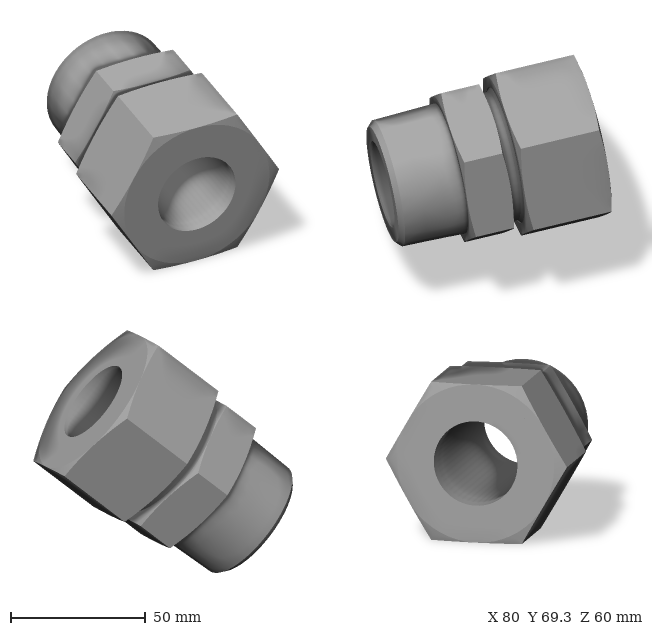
import cadquery as cq
import math


total_length = 80.0
stud_length = 26.0
body_hex_length = 17.0
neck_length = 3.4
nut_length = 32.6
body_hex_end = stud_length + body_hex_length
neck_end = body_hex_end + neck_length
nut_start = total_length - nut_length

taper_ratio = 1 / 16
stud_root_radius = 24.9
stud_chamfer = 2.0
stud_chamfer_radius = stud_root_radius - (stud_length - stud_chamfer) * taper_ratio / 2

bore_radius = 16.0
bore_chamfer = 0.6
neck_radius = 24.5
shank_radius = 26.0
shank_lead_end = neck_end + shank_radius - neck_radius

body_hex_flats = 55.0
nut_hex_flats = 60.0
hex_chamfer_angle = 15.0


def revolve_about_x(profile):
    """Solid turned about the X axis from (x, radius) points."""
    return cq.Workplane("XY").polyline(profile).close().revolve(360, (0, 0, 0), (1, 0, 0))


def chamfered_hexagon(start, length, flats):
    """Hexagonal prism along X whose corners are cut by a cone at both ends."""
    corner_radius = flats / math.sqrt(3)
    face_radius = flats / 2
    chamfer_depth = (corner_radius - face_radius) * math.tan(math.radians(hex_chamfer_angle))
    end = start + length
    prism = (
        cq.Workplane("YZ", origin=(start, 0, 0))
        .polygon(6, 2 * corner_radius)
        .extrude(length)
    )
    envelope = revolve_about_x([
        (start, 0),
        (start, face_radius),
        (start + chamfer_depth, corner_radius),
        (end - chamfer_depth, corner_radius),
        (end, face_radius),
        (end, 0),
    ])
    return prism.intersect(envelope)


def make_body():
    """Tapered stud, hexagon, neck and shank, with one bore through them all."""
    turned = revolve_about_x([
        (0, 0),
        (0, stud_chamfer_radius - stud_chamfer),
        (stud_chamfer, stud_chamfer_radius),
        (stud_length, stud_root_radius),
        (stud_length, neck_radius),
        (neck_end, neck_radius),
        (shank_lead_end, shank_radius),
        (total_length, shank_radius),
        (total_length, 0),
    ])
    bore = revolve_about_x([
        (0, 0),
        (0, bore_radius + bore_chamfer),
        (bore_chamfer, bore_radius),
        (total_length, bore_radius),
        (total_length, 0),
    ])
    hexagon = chamfered_hexagon(stud_length, body_hex_length, body_hex_flats)
    return turned.union(hexagon).cut(bore)


def make_nut():
    """Hexagonal nut with a bore that fits the shank."""
    hexagon = chamfered_hexagon(nut_start, nut_length, nut_hex_flats)
    shank_bore = cq.Workplane("YZ", origin=(nut_start, 0, 0)).circle(shank_radius).extrude(nut_length)
    return hexagon.cut(shank_bore)


body = make_body()
nut = make_nut()

result = cq.Compound.makeCompound([body.val(), nut.val()])